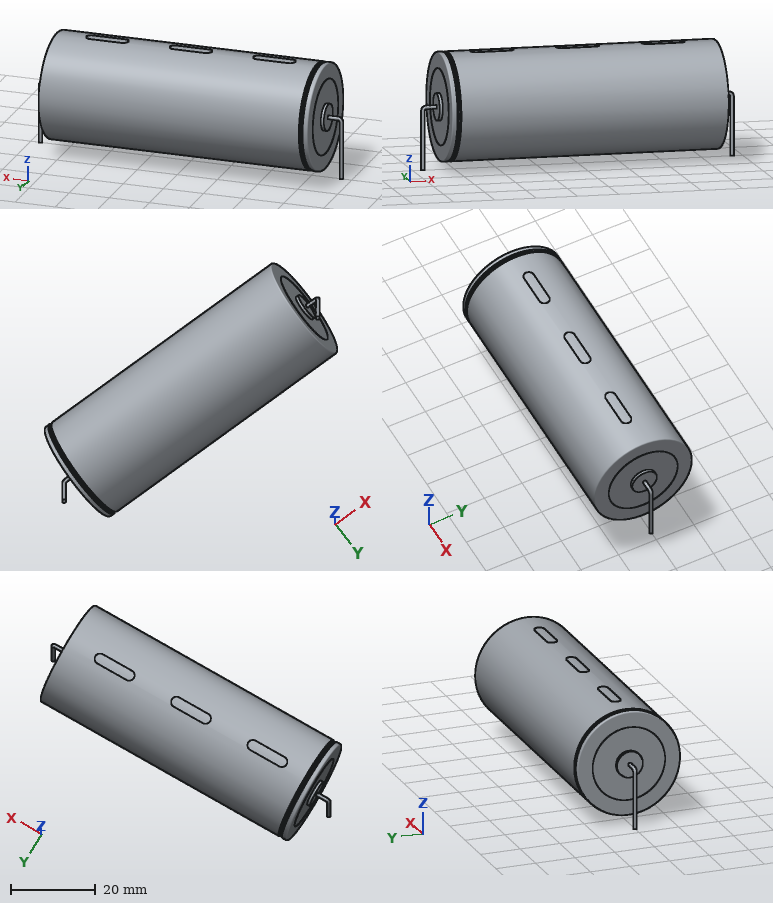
import cadquery as cq

overall_length = 75.9
can_diameter = 26.0
can_length = 67.1
rim_fillet = 0.3

groove_offset = 1.2
groove_width = 1.0
groove_floor_width = 0.4
groove_depth = 0.2

sleeve_opening_diameter = 18.3
sleeve_thickness = 0.1
boss_diameter = 6.5
boss_height = 0.7

lead_diameter = 0.9
lead_bend_radius = 0.8
lead_bottom_z = -14.99

mark_length = 10.5
mark_width = 2.6
mark_depth = 0.1
mark_pitch = 20.8
first_mark_x = -20.8
mark_count = 3

can_radius = can_diameter / 2
can_end_x = can_length / 2
lead_x = (overall_length - lead_diameter) / 2


def x_cylinder(start_x, length, diameter):
    return cq.Workplane("YZ").workplane(offset=start_x).circle(diameter / 2).extrude(length)


def make_can():
    can = x_cylinder(-can_end_x, can_length, can_diameter).faces("|X").edges().fillet(rim_fillet)
    for recess_x in (-can_end_x, can_end_x - sleeve_thickness):
        can = can.cut(x_cylinder(recess_x, sleeve_thickness, sleeve_opening_diameter))
    return can


def make_groove():
    """Ring with sloping walls and a flat floor."""
    start_x = -can_end_x + groove_offset
    wall_run = (groove_width - groove_floor_width) / 2
    floor_radius = can_radius - groove_depth
    outline = [
        (start_x, can_radius),
        (start_x + wall_run, floor_radius),
        (start_x + wall_run + groove_floor_width, floor_radius),
        (start_x + groove_width, can_radius),
    ]
    return cq.Workplane("XY").polyline(outline).close().revolve(360, (0, 0, 0), (1, 0, 0))


def make_marks():
    """Obround cutters that follow the can surface at a constant depth."""
    centres = [(first_mark_x + i * mark_pitch, 0) for i in range(mark_count)]
    columns = cq.Workplane("XY").pushPoints(centres).slot2D(mark_length, mark_width).extrude(can_diameter)
    core = x_cylinder(-can_end_x, can_length, can_diameter - 2 * mark_depth)
    return columns.cut(core)


def make_terminal():
    """Boss and bent lead of the -X end, both rooted in the can."""
    boss = x_cylinder(-can_end_x - boss_height, 2 * boss_height, boss_diameter)
    path = (
        cq.Workplane("XZ")
        .moveTo(-can_end_x, 0)
        .lineTo(-lead_x + lead_bend_radius, 0)
        .radiusArc((-lead_x, -lead_bend_radius), -lead_bend_radius)
        .lineTo(-lead_x, lead_bottom_z)
    )
    lead = cq.Workplane("YZ", origin=(-can_end_x, 0, 0)).circle(lead_diameter / 2).sweep(path)
    return boss.union(lead)


terminal = make_terminal()
result = make_can().cut(make_groove()).cut(make_marks())
result = result.union(terminal).union(terminal.mirror("YZ"))